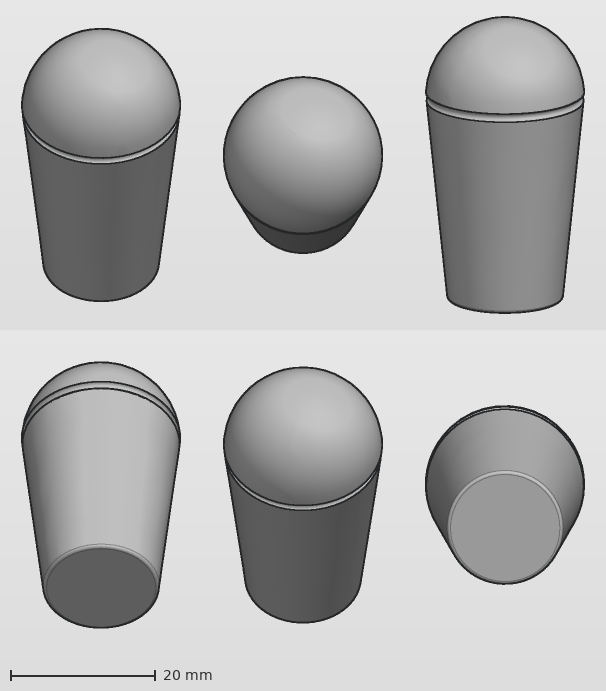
import cadquery as cq
import math

total_height = 40.0
dome_radius = 11.0
dome_base_z = 29.6
body_top_z = 28.4
body_top_radius = 10.9
body_bottom_radius = 8.0
groove_floor_radius = 10.45
bottom_fillet = 0.5

dome_center_z = total_height - dome_radius
dome_base_radius = math.sqrt(dome_radius**2 - (dome_base_z - dome_center_z) ** 2)
dome_mid_offset = dome_radius * math.sqrt(0.5)
groove_mid_z = (body_top_z + dome_base_z) / 2


def make_handle():
    """Revolve the half profile: tapered body, rounded groove and dome."""
    return (
        cq.Workplane("XZ")
        .lineTo(body_bottom_radius, 0)
        .lineTo(body_top_radius, body_top_z)
        .threePointArc((groove_floor_radius, groove_mid_z), (dome_base_radius, dome_base_z))
        .threePointArc((dome_mid_offset, dome_center_z + dome_mid_offset), (0, total_height))
        .close()
        .revolve(360, (0, 0, 0), (0, 1, 0))
    )


result = make_handle().faces("<Z").edges().fillet(bottom_fillet)